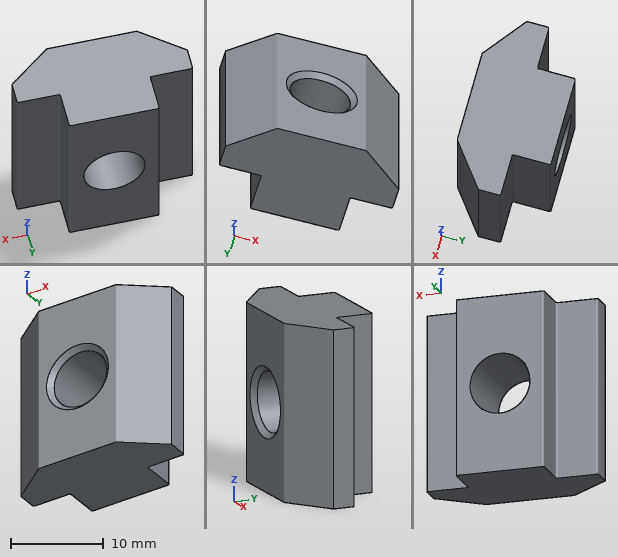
import cadquery as cq

width = 19.5
depth = 10.5
length = 20.0

stem_width = 10.0
stem_height = 4.3
flange_side_height = 2.5
nose_width = 10.0
edge_radius = 0.2

hole_diameter = 6.8
countersink_diameter = 8.0
countersink_depth = (countersink_diameter - hole_diameter) / 2

front_y = -depth / 2
back_y = depth / 2
shoulder_y = back_y - stem_height
slope_end_y = shoulder_y - flange_side_height


def make_body():
    """Extrude the T profile and round its long edges, except the flange corners above the slopes."""
    right_half = [
        (nose_width / 2, front_y),
        (width / 2, slope_end_y),
        (width / 2, shoulder_y),
        (stem_width / 2, shoulder_y),
        (stem_width / 2, back_y),
    ]
    left_half = [(-x, y) for x, y in reversed(right_half)]
    body = (
        cq.Workplane("XY")
        .polyline(right_half + left_half)
        .close()
        .extrude(length / 2, both=True)
    )
    rounded_edges = body.edges("|Z").filter(lambda edge: abs(edge.Center().y - slope_end_y) > edge_radius)
    return rounded_edges.fillet(edge_radius)


def make_hole():
    """Through hole along Y with a 45 degree countersink at the nose face."""
    hole_radius = hole_diameter / 2
    hole_profile = [
        (front_y, 0),
        (front_y, -countersink_diameter / 2),
        (front_y + countersink_depth, -hole_radius),
        (back_y, -hole_radius),
        (back_y, 0),
    ]
    return cq.Workplane("YZ").polyline(hole_profile).close().revolve(360, (0, 0, 0), (1, 0, 0))


result = make_body().cut(make_hole())